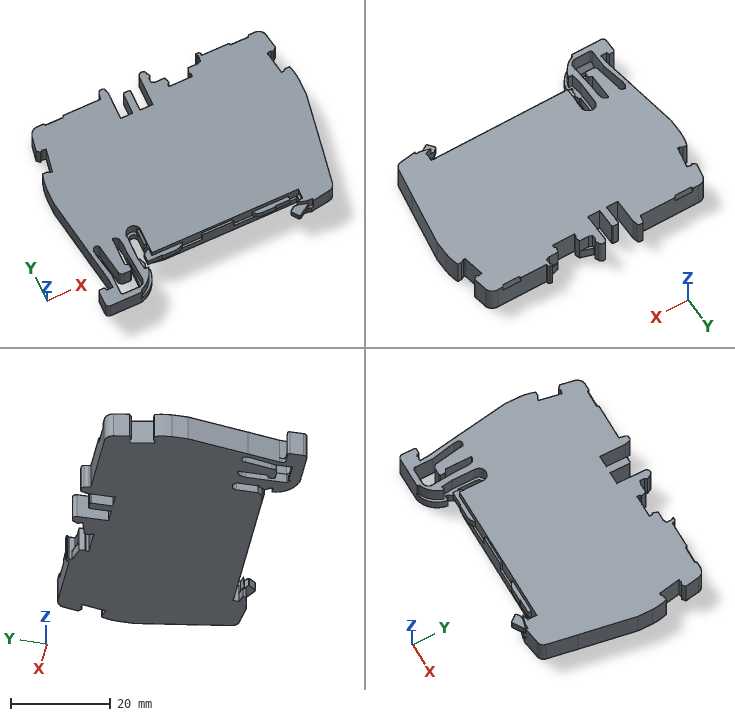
import cadquery as cq
import math

THICKNESS = 6.0
Z_TOP = THICKNESS / 2
Z_BOTTOM = -Z_TOP
Z_SPLIT = -0.65
Z_PAD = 1.35
Z_TAB = 1.9
Z_FOOT_WEB = -1.9

ARC_INSET = 1 - math.sqrt(0.5)

LENGTH = 55.9
HEIGHT = 42.8
HALF_LENGTH = LENGTH / 2
Y_TIP = HEIGHT / 2
Y_HEAD = 19.55
RAIL_UPPER = -14.6
RAIL_LOWER = -15.05

PRONG_ROOT = Y_HEAD - 0.55
PRONG_FLOOR = 14.15
PRONG_LEFT_X = -8.1
PRONG_RIGHT_X = -1.0
MID_PRONG_X = -4.65
MID_PRONG_WIDTH = 1.6
MID_PRONG_TOP = 18.85
MID_PRONG_CHAMFER = 0.2
SEAT_X = 0.65
SEAT_END_X = 11.65
SEAT_Y = 18.3
SEAT_FLOOR = 16.3
WEDGE_RISE = 0.85
WEDGE_RUN = 2.7

LABEL_X = 20.5
LABEL_LENGTH = 4.3
LABEL_DEPTH = 0.45
LABEL_DROP = 1.1
LABEL_TAPER = 0.3

FOOT_X = -27.6
FOOT_TOP = -17.4
FOOT_TOP_RADIUS = 0.4
FOOT_BASE_RADIUS = 0.85
HOOK_X = -20.1
HOOK_STEP_X = -19.75
WINDOW_LEFT = -23.75
WINDOW_RIGHT = -19.7
WINDOW_FLOOR = -20.15
WINDOW_RADIUS = 0.45
TONGUE_X = -20.45
TONGUE_TIP_X = -19.7
TONGUE_END = -16.3
ARM_INNER_X = -19.0
RAMP_RUN = 1.05
RAMP_DROP = 1.05

SLOT_UPPER_X = -14.5
SLOT_LOWER_X = -15.0
RIB_START_Y = -11.95
RIB_END_Y = -8.3
RIB_EDGE_Z = 1.35
RIB_TOP_Z = 2.0

CATCH_UPPER_X = 17.95
CATCH_LOWER_X = 17.4
CATCH_LOWER_Y = -16.3
BASE_CORNER = (23.4, -17.5)
BASE_SLOPE = 0.15
BASE_UPPER_X = 19.75
BASE_LOWER_X = 19.25

TAB_WIDTH = 7.0
TAB_FILLET = 0.4
PAD_OUTER_X = 15.75
PAD_STEP_X = 12.5
PAD_FLAT_X = 9.8
PAD_INNER_X = 7.65
PAD_Y = -15.4
PAD_CREST_Y = -15.55


def prism(outline, z_low, z_high):
    """Extrude a closed XY wire between two levels."""
    return outline.extrude(z_high - z_low).translate((0, 0, z_low))


def polygon(points):
    return cq.Workplane("XY").polyline(points).close()


SIDE_NOTCH = [
    (-26.5, 14.95),
    (-25.8, 14.3),
    (-25.35, 14.6),
    (-24.5, 14.4),
    (-25.4, 9.55),
    (-25.8, 9.55),
    (-26.45, 9.95),
    (-27.35, 9.95),
]
SHOULDER_START = (-23.95, Y_HEAD)
SHOULDER_MID = (-25.35, 19.1)
SHOULDER_END = (-25.95, 18.05)
BULGE_MID = (-27.8, 8.15)
BULGE_END = (-HALF_LENGTH, 6.45)
FLANK = [(-HALF_LENGTH, 3.2), (-25.9, -9.5), (-24.8, -16.15)]


def mirrored(point):
    return (-point[0], point[1])


def side_left(path):
    """Left side of the outline, drawn downwards from the upper edge."""
    path = path.lineTo(*SHOULDER_START).threePointArc(SHOULDER_MID, SHOULDER_END)
    for point in SIDE_NOTCH:
        path = path.lineTo(*point)
    path = path.threePointArc(BULGE_MID, BULGE_END)
    for point in FLANK:
        path = path.lineTo(*point)
    return path


def side_right(path):
    """Right side of the outline, drawn upwards from the base."""
    for point in reversed(FLANK[:-1]):
        path = path.lineTo(*mirrored(point))
    path = path.lineTo(*mirrored(BULGE_END))
    path = path.threePointArc(mirrored(BULGE_MID), mirrored(SIDE_NOTCH[-1]))
    for point in reversed(SIDE_NOTCH[:-1]):
        path = path.lineTo(*mirrored(point))
    path = path.lineTo(*mirrored(SHOULDER_END))
    return path.threePointArc(mirrored(SHOULDER_MID), mirrored(SHOULDER_START))


def foot(path):
    """Foot below the left flank, up to the start of the hook arc."""
    top_inset = ARC_INSET * FOOT_TOP_RADIUS
    base_inset = ARC_INSET * FOOT_BASE_RADIUS
    return (
        path.lineTo(-24.8, -16.65)
        .threePointArc((-24.9, -17.15), (-25.35, FOOT_TOP))
        .lineTo(FOOT_X + FOOT_TOP_RADIUS, FOOT_TOP)
        .threePointArc((FOOT_X + top_inset, FOOT_TOP - top_inset), (FOOT_X, FOOT_TOP - FOOT_TOP_RADIUS))
        .lineTo(FOOT_X, FOOT_BASE_RADIUS - Y_TIP)
        .threePointArc((FOOT_X + base_inset, base_inset - Y_TIP), (FOOT_X + FOOT_BASE_RADIUS, -Y_TIP))
        .lineTo(HOOK_X, -Y_TIP)
    )


def base_right(path, x_start):
    """Sloping base edge from x_start and the rounded lower right corner."""
    y_start = BASE_CORNER[1] - BASE_SLOPE * (BASE_CORNER[0] - x_start)
    path = path.lineTo(x_start, y_start).lineTo(*BASE_CORNER)
    return path.threePointArc((24.4, -17.0), mirrored(FLANK[-1]))


def upper_layer():
    """Upper layer with the slim arm, wide slot and recessed rail face."""
    path = foot(side_left(cq.Workplane("XY").moveTo(0, Y_HEAD)))
    path = (
        path.lineTo(HOOK_STEP_X, -21.35)
        .lineTo(HOOK_STEP_X, -20.95)
        .threePointArc((-17.65, -19.5), (-16.35, -17.05))
        .lineTo(-17.2, -17.05)
        .lineTo(-17.55, -14.6)
        .lineTo(-17.55, -9.2)
        .threePointArc((-16.0, -7.65), (SLOT_UPPER_X, -9.2))
        .lineTo(SLOT_UPPER_X, RAIL_UPPER)
        .lineTo(CATCH_UPPER_X, RAIL_UPPER)
        .lineTo(CATCH_UPPER_X, -16.6)
        .lineTo(16.5, -17.0)
        .lineTo(18.7, -17.6)
        .lineTo(BASE_UPPER_X, -17.6)
    )
    outline = side_right(base_right(path, BASE_UPPER_X)).close()
    layer = prism(outline, Z_SPLIT, Z_TOP)
    window = (
        window_start()
        .lineTo(WINDOW_RIGHT, WINDOW_FLOOR)
        .threePointArc((-18.85, -19.6), (-18.5, -18.85))
        .lineTo(ARM_INNER_X, -12.3)
    )
    return layer.cut(prism(window_finish(window), Z_SPLIT, Z_TOP))


def lower_layer():
    """Lower layer with the barbed arm, narrow slot and full hook."""
    path = foot(side_left(cq.Workplane("XY").moveTo(0, Y_HEAD)))
    path = (
        path.threePointArc((-17.05, -19.7), (-15.7, -16.5))
        .lineTo(-16.85, -16.5)
        .lineTo(-16.8, -16.0)
        .lineTo(-16.1, -15.0)
        .lineTo(-16.7, -13.55)
        .lineTo(-17.0, -13.55)
        .lineTo(-17.0, -9.3)
        .threePointArc((-16.0, -8.3), (SLOT_LOWER_X, -9.3))
        .lineTo(SLOT_LOWER_X, -13.75)
        .lineTo(-14.25, -14.7)
        .lineTo(-11.9, RAIL_LOWER)
        .lineTo(CATCH_LOWER_X, RAIL_LOWER)
        .lineTo(CATCH_LOWER_X, CATCH_LOWER_Y)
        .lineTo(15.75, -16.7)
        .lineTo(15.95, -17.35)
        .lineTo(18.25, -17.95)
        .lineTo(18.8, -17.95)
    )
    outline = side_right(base_right(path, BASE_LOWER_X)).close()
    layer = prism(outline, Z_BOTTOM, Z_SPLIT)
    window = (
        window_start()
        .lineTo(WINDOW_RIGHT, WINDOW_FLOOR)
        .lineTo(WINDOW_RIGHT, -19.45)
        .lineTo(ARM_INNER_X, -18.85)
    )
    return layer.cut(prism(window_finish(window), Z_BOTTOM, Z_SPLIT))


def window_start():
    """Left wall of the foot window, drawn down to its floor."""
    inset = ARC_INSET * WINDOW_RADIUS
    return (
        cq.Workplane("XY")
        .moveTo(-23.45, -9.5)
        .threePointArc((-24.1, -8.6), (-24.9, -9.6))
        .lineTo(-24.9, -10.2)
        .lineTo(WINDOW_LEFT, -15.55)
        .lineTo(WINDOW_LEFT, WINDOW_FLOOR + WINDOW_RADIUS)
        .threePointArc(
            (WINDOW_LEFT + inset, WINDOW_FLOOR + inset),
            (WINDOW_LEFT + WINDOW_RADIUS, WINDOW_FLOOR),
        )
    )


def window_finish(path):
    """Arm wall of the foot window and the tongue hanging into it."""
    return (
        path.lineTo(ARM_INNER_X, -10.45)
        .lineTo(-19.2, -9.5)
        .threePointArc((-19.5, -8.9), (-20.15, -8.55))
        .lineTo(TONGUE_X, -8.55)
        .lineTo(TONGUE_X, -14.55)
        .lineTo(TONGUE_TIP_X, -15.0)
        .lineTo(TONGUE_TIP_X, -16.05)
        .lineTo(-19.95, TONGUE_END)
        .lineTo(-21.5, TONGUE_END)
        .threePointArc((-22.2, -15.95), (-22.5, -15.1))
        .close()
    )


def window_ramp():
    """Ramp that narrows the foot window towards the bottom."""
    ramp_end = WINDOW_FLOOR + RAMP_RUN
    profile = [(WINDOW_FLOOR, Z_SPLIT), (ramp_end, Z_SPLIT - RAMP_DROP)]
    profile += [(ramp_end, Z_BOTTOM), (WINDOW_FLOOR, Z_BOTTOM)]
    ramp = cq.Workplane("YZ").polyline(profile).close().extrude(WINDOW_RIGHT - WINDOW_LEFT)
    return ramp.translate((WINDOW_LEFT, 0, 0))


def foot_corner_cut():
    """Square-bottomed relief between foot and flank, leaving a rounded web below."""
    corner = [(-24.8, -16.2), (-24.65, -18.0), (-26.05, -18.0), (-26.3, FOOT_TOP), (-25.7, -16.2)]
    return prism(polygon(corner), Z_FOOT_WEB, Z_TOP)


def left_prong():
    """Tapered prong with a rounded tip."""
    return (
        cq.Workplane("XY")
        .moveTo(-10.05, PRONG_ROOT)
        .lineTo(-10.05, Y_HEAD)
        .lineTo(-10.0, 19.95)
        .lineTo(-9.8, 20.95)
        .threePointArc((-9.6, 21.25), (-9.35, Y_TIP))
        .lineTo(-8.85, Y_TIP)
        .threePointArc((-8.5, 21.25), (-8.4, 20.95))
        .lineTo(PRONG_LEFT_X, 19.95)
        .lineTo(PRONG_LEFT_X, PRONG_ROOT)
        .close()
    )


def right_prong():
    """Prong with a round tip and a small latch towards the marker seat."""
    return (
        cq.Workplane("XY")
        .moveTo(PRONG_RIGHT_X, PRONG_ROOT)
        .lineTo(PRONG_RIGHT_X, 20.6)
        .threePointArc((-0.15, Y_TIP), (SEAT_X, 20.7))
        .lineTo(1.05, 20.0)
        .lineTo(SEAT_X, 19.55)
        .lineTo(SEAT_X, PRONG_ROOT)
        .close()
    )


def seat_lip():
    """Small latch lip at the far end of the marker seat."""
    points = [(SEAT_END_X, PRONG_ROOT), (SEAT_END_X, 19.8), (11.35, 20.15), (11.35, 20.35)]
    points += [(12.0, 20.35), (12.35, 20.0), (12.35, PRONG_ROOT)]
    return polygon(points)


def prong_gap():
    """Opening between the outer prongs."""
    points = [(PRONG_LEFT_X, PRONG_FLOOR), (PRONG_RIGHT_X, PRONG_FLOOR)]
    points += [(PRONG_RIGHT_X, Y_HEAD), (PRONG_LEFT_X, Y_HEAD)]
    return polygon(points)


def middle_prong():
    height = MID_PRONG_TOP - PRONG_FLOOR
    prong = cq.Workplane("XY").box(MID_PRONG_WIDTH, height, THICKNESS)
    prong = prong.edges("|Z and >Y").chamfer(MID_PRONG_CHAMFER)
    return prong.translate((MID_PRONG_X, PRONG_FLOOR + height / 2, 0))


def marker_seat():
    """Stepped seat for a marker, symmetric about its own middle."""
    points = [(SEAT_X, Y_HEAD), (SEAT_X, 18.55), (1.45, SEAT_Y), (3.6, SEAT_Y), (3.9, 17.1)]
    points += [(3.6, 16.9), (3.6, SEAT_FLOOR)]
    points += [(SEAT_X + SEAT_END_X - x, y) for x, y in reversed(points)]
    return polygon(points)


def seat_wedges():
    """Sloped ledges of the lower layer at both ends of the seat."""
    left = [(SEAT_X, SEAT_Y - 0.55), (SEAT_X, SEAT_Y + WEDGE_RISE)]
    left += [(SEAT_X + WEDGE_RUN, SEAT_Y), (SEAT_X + WEDGE_RUN, SEAT_Y - 0.55)]
    right = [(SEAT_X + SEAT_END_X - x, y) for x, y in left]
    left_wedge = prism(polygon(left), Z_BOTTOM, Z_SPLIT)
    return left_wedge.union(prism(polygon(right), Z_BOTTOM, Z_SPLIT))


def label_recess(x_middle):
    """Shallow recess with tapered ends and a sloping floor at the top of the head edge."""
    y_floor = Y_HEAD - LABEL_DEPTH
    profile = [(Y_HEAD, Z_TOP - LABEL_DROP), (Y_HEAD, Z_TOP), (y_floor, Z_TOP)]
    wedge = cq.Workplane("YZ").polyline(profile).close().extrude(LABEL_LENGTH / 2, both=True)
    half_top = LABEL_LENGTH / 2
    half_floor = half_top - LABEL_TAPER
    trapezoid = [(-half_top, Y_HEAD), (half_top, Y_HEAD), (half_floor, y_floor), (-half_floor, y_floor)]
    recess = wedge.intersect(prism(polygon(trapezoid), Z_BOTTOM, Z_TOP))
    return recess.translate((x_middle, 0, 0))


def centre_tab():
    """Tab on the rail face, level with the lower layer."""
    outline = cq.Workplane("XY").rect(TAB_WIDTH, RAIL_UPPER - RAIL_LOWER)
    tab = prism(outline, Z_SPLIT, Z_TAB).edges("|Y and >Z").fillet(TAB_FILLET)
    return tab.translate((0, (RAIL_UPPER + RAIL_LOWER) / 2, 0))


def pad_right():
    """Outline of the right rail pad, stepped and rounded at its inner end."""
    return (
        cq.Workplane("XY")
        .moveTo(PAD_OUTER_X, RAIL_UPPER)
        .lineTo(PAD_OUTER_X, PAD_Y)
        .lineTo(PAD_STEP_X, PAD_Y)
        .lineTo(PAD_STEP_X, PAD_CREST_Y)
        .lineTo(PAD_FLAT_X, PAD_CREST_Y)
        .threePointArc((8.4, -15.2), (PAD_INNER_X, RAIL_UPPER))
        .close()
    )


def rail_pads():
    """Mirrored rail pads; the left one also covers the body corner."""
    pad = prism(pad_right(), Z_SPLIT, Z_PAD)
    corner = [(-PAD_OUTER_X, PAD_Y), (-PAD_OUTER_X, -13.7), (SLOT_LOWER_X, -13.05), (SLOT_UPPER_X, -13.05)]
    corner += [(SLOT_UPPER_X, PAD_Y)]
    return pad.union(pad.mirror("YZ")).union(prism(polygon(corner), Z_SPLIT, Z_PAD))


def catch_nose():
    """Nose that snaps under the rail edge."""
    points = [(15.75, -17.0), (14.95, -17.65), (14.95, -17.95), (16.0, -19.3), (16.35, -19.3)]
    points += [(18.6, -17.85), (18.6, -17.0)]
    return prism(polygon(points), Z_SPLIT, Z_PAD)


def slot_rib():
    """Rib with a bevelled top along the right wall of the arm slot."""
    profile = [(SLOT_LOWER_X, Z_SPLIT), (SLOT_LOWER_X, RIB_EDGE_Z), (SLOT_UPPER_X, RIB_TOP_Z)]
    profile += [(SLOT_UPPER_X, Z_SPLIT)]
    rib = cq.Workplane("XZ").polyline(profile).close().extrude(RIB_END_Y - RIB_START_Y)
    return rib.translate((0, RIB_END_Y, 0))


def catch_ledge():
    """Wall of the catch that steps in below the upper layer."""
    points = [(CATCH_LOWER_X, RAIL_LOWER), (CATCH_LOWER_X, CATCH_LOWER_Y), (CATCH_UPPER_X, -16.1)]
    points += [(CATCH_UPPER_X, RAIL_LOWER)]
    return prism(polygon(points), Z_SPLIT, Z_PAD)


def full_height(outline):
    return prism(outline, Z_BOTTOM, Z_TOP)


result = lower_layer().union(upper_layer()).union(window_ramp()).cut(foot_corner_cut())
result = result.cut(full_height(prong_gap())).cut(full_height(marker_seat()))
for raised in (left_prong, right_prong, seat_lip):
    result = result.union(full_height(raised()))
result = result.union(middle_prong()).union(seat_wedges())
for x_middle in (-LABEL_X, LABEL_X):
    result = result.cut(label_recess(x_middle))
for detail in (centre_tab, rail_pads, catch_nose, catch_ledge, slot_rib):
    result = result.union(detail())